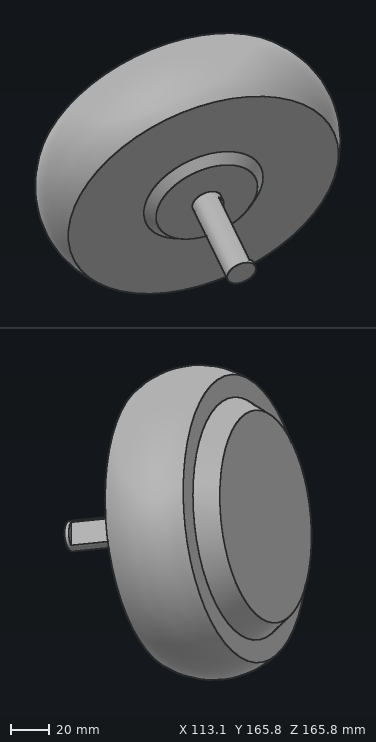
import cadquery as cq

tyre_radius = 82.9
tyre_side_radius = 75.9
tyre_width = 45.4

cover_width = 11.8
cover_base_radius = 64.0
cover_face_radius = 56.0

boss_width = 5.0
boss_base_radius = 33.5
boss_face_radius = boss_base_radius - boss_width

axle_length = 50.9
axle_radius = 8.1
flat_depth = 2.8
flat_start_gap = 4.0
flat_end_gap = 2.5

tyre_right = tyre_width / 2
tyre_left = -tyre_right
cover_face = tyre_left - cover_width
boss_face = tyre_right + boss_width
axle_end = boss_face + axle_length


def make_turned_body():
    """Revolve the half profile of cover, tyre, boss and axle about X."""
    profile = (
        cq.Workplane("XY")
        .moveTo(cover_face, 0)
        .lineTo(cover_face, cover_face_radius)
        .lineTo(tyre_left, cover_base_radius)
        .lineTo(tyre_left, tyre_side_radius)
        .threePointArc((0, tyre_radius), (tyre_right, tyre_side_radius))
        .lineTo(tyre_right, boss_base_radius)
        .lineTo(boss_face, boss_face_radius)
        .lineTo(boss_face, axle_radius)
        .lineTo(axle_end, axle_radius)
        .lineTo(axle_end, 0)
        .close()
    )
    return profile.revolve(360, (0, 0, 0), (1, 0, 0))


def make_flat_cutter():
    """Block that removes the +Y side of the axle between two full-round collars."""
    flat_length = axle_length - flat_start_gap - flat_end_gap
    return cq.Workplane("XY").box(
        flat_length, flat_depth, 2 * axle_radius, centered=(False, False, True)
    ).translate((boss_face + flat_start_gap, axle_radius - flat_depth, 0))


result = make_turned_body().cut(make_flat_cutter())